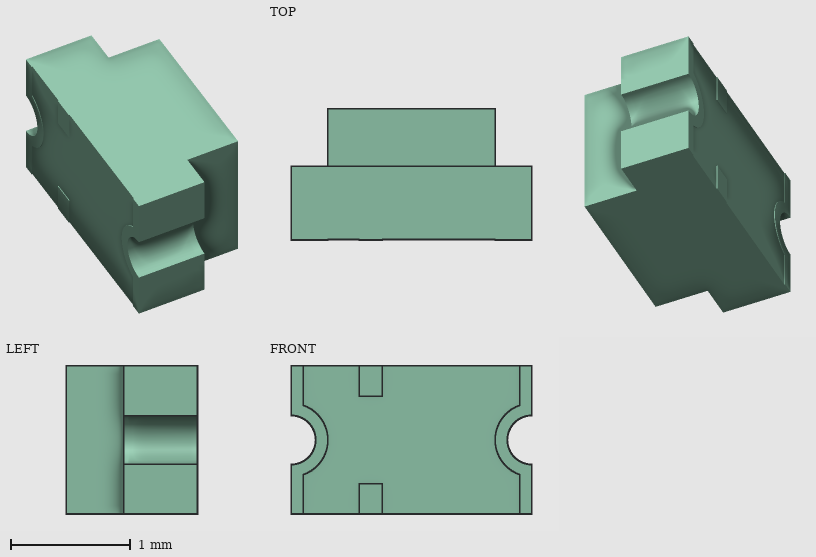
import cadquery as cq

width = 2.01
height = 1.24
total_depth = 1.1
foil_thickness = 0.007
lens_depth = 0.48
lens_width = 1.40
notch_radius = 0.204
pad_rim = 0.103
mark_width = 0.195
mark_height = 0.255
mark_center_x = -0.34

foil_front = -total_depth / 2
board_front = foil_front + foil_thickness
lens_front = total_depth / 2 - lens_depth
board_depth = lens_front - board_front
end_x = width / 2
pad_radius = notch_radius + pad_rim


def block(x_size, z_size, y_front, depth, x_center=0, z_center=0):
    """Box placed by its X/Z centre and its front Y face."""
    box = cq.Workplane("XY").box(x_size, depth, z_size)
    return box.translate((x_center, y_front + depth / 2, z_center))


def rod(radius, x_center, y_front, depth):
    """Cylinder along Y, centred on Z = 0."""
    plane = cq.Workplane("XZ", origin=(x_center, y_front, 0))
    return plane.circle(radius).extrude(-depth)


def make_board():
    """Flat board with a half-round notch through each end."""
    board = block(width, height, board_front, board_depth)
    for side in (-1, 1):
        board = board.cut(rod(notch_radius, side * end_x, board_front, board_depth))
    return board


def make_lens():
    """Plain block on the back face of the board."""
    return block(lens_width, height, lens_front, lens_depth)


def make_pad(side):
    """Foil strip along one end of the board, with a ring around the notch."""
    strip = block(pad_rim, height, foil_front, foil_thickness, side * (end_x - pad_rim / 2))
    half_disc = rod(pad_radius, side * end_x, foil_front, foil_thickness).intersect(
        block(width, height, foil_front, foil_thickness)
    )
    notch = rod(notch_radius, side * end_x, foil_front, foil_thickness)
    return strip.union(half_disc).cut(notch)


def make_mark(side):
    """Foil rectangle at the upper or lower edge of the board."""
    z_center = side * (height - mark_height) / 2
    return block(mark_width, mark_height, foil_front, foil_thickness, mark_center_x, z_center)


board = make_board()
lens = make_lens()
pads = [make_pad(side) for side in (-1, 1)]
marks = [make_mark(side) for side in (-1, 1)]

result = cq.Compound.makeCompound(
    [board.val(), lens.val()]
    + [pad.val() for pad in pads]
    + [mark.val() for mark in marks]
)